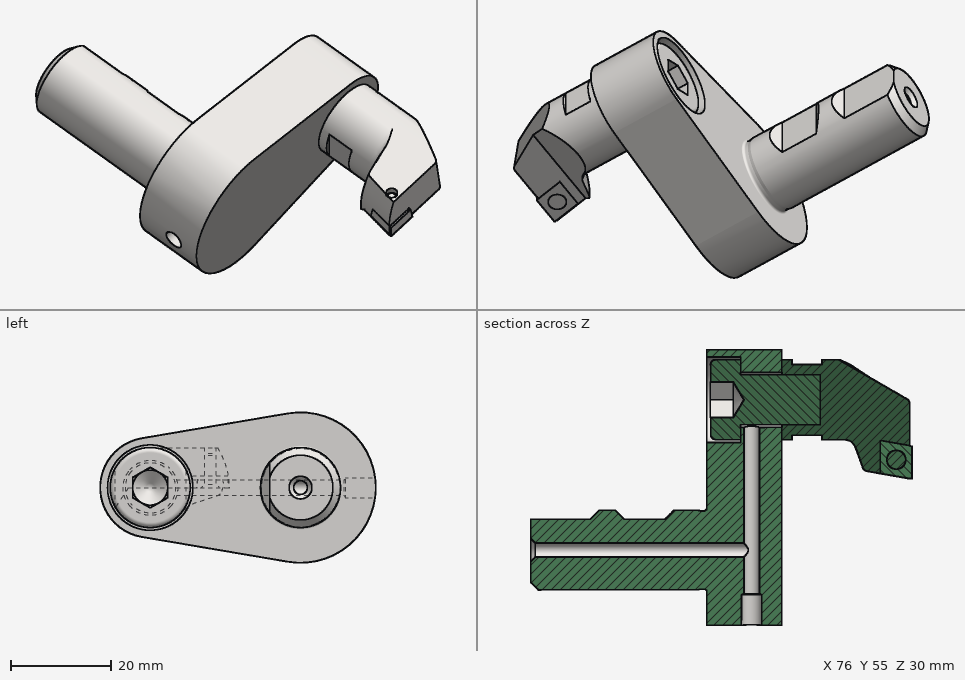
import cadquery as cq
import math


hub_radius = 30.0 / 2
eye_radius = 20.0 / 2
eye_offset = 29.95
arm_thickness = 15.0

shank_length = 35.0
shank_radius = 8.0
shank_chamfer = 1.5
flat_height = 6.15
end_flat_length = 11.85
land_length = 3.1
middle_flat_length = 8.1
undercut_start = 1.8
neck_start = 1.15
neck_radius = 7.8
neck_fillet = 0.5

shank_channel_radius = 1.4
shank_channel_mouth_radius = 2.3
cross_channel_x = 9.0
cross_channel_radius = 1.5
plug_bore_radius = 2.0
plug_bore_depth = 6.1

head_recess = 0.75
head_radius = 8.0
head_height = 6.0
head_fillet = 1.0
counterbore_radius = 8.5
screw_radius = 5.0
screw_length = 15.95
clearance_radius = 5.5
hex_across_flats = 7.0
hex_depth = 4.55
drill_half_angle = 59

bar_radius = shank_radius
wrench_flat_start = 2.05
wrench_flat_length = 5.9
wrench_flat_offset = 7.1
relief_angle = 7
bar_end = 25.5
shoulder_end = 11.4
back_lean = 4
slant_angle = 30
end_corner_radius = 1.2
underside_start = 9.65

flare_angle = 20
flare_fillet = 2.2
nose_x = 16.35
nose_radius = 14.1
nose_fillet = 1.1
front_angle = 10

insert_edge = 6.45
insert_angle = 80
insert_thickness = 2.35
insert_tip_x = 26.0
insert_tip_offset = 15.7
insert_screw_radius = 1.15
insert_screw_head_radius = 1.8
insert_screw_recess = 1.15
insert_screw_chamfer = 0.4


def x_cylinder(radius, start, length, y=0):
    return cq.Workplane("YZ", origin=(start, y, 0)).circle(radius).extrude(length)


def turned(outline, y=0):
    """Solid of revolution about a line along X; the outline holds (x, radius) points."""
    return (
        cq.Workplane("XY", origin=(0, y, 0))
        .polyline(outline)
        .close()
        .revolve(360, (0, 0, 0), (1, 0, 0))
    )


def arm_plate():
    lean = (hub_radius - eye_radius) / eye_offset
    rise = math.sqrt(1 - lean**2)
    hub_y = hub_radius * lean
    hub_z = hub_radius * rise
    eye_y = eye_offset + eye_radius * lean
    eye_z = eye_radius * rise
    return (
        cq.Workplane("YZ")
        .moveTo(hub_y, hub_z)
        .lineTo(eye_y, eye_z)
        .threePointArc((eye_offset + eye_radius, 0), (eye_y, -eye_z))
        .lineTo(hub_y, -hub_z)
        .threePointArc((-hub_radius, 0), (hub_y, hub_z))
        .close()
        .extrude(arm_thickness)
    )


def shank():
    fillet_foot_radius = neck_radius + neck_fillet
    arc_lag = neck_fillet * (1 - math.sqrt(0.5))
    body = (
        cq.Workplane("XY")
        .moveTo(-shank_length, 0)
        .lineTo(-shank_length, shank_radius - shank_chamfer)
        .lineTo(-shank_length + shank_chamfer, shank_radius)
        .lineTo(-undercut_start, shank_radius)
        .lineTo(-neck_start, neck_radius)
        .lineTo(-neck_fillet, neck_radius)
        .threePointArc((-arc_lag, neck_radius + arc_lag), (0, fillet_foot_radius))
        .lineTo(0, 0)
        .close()
        .revolve(360, (0, 0, 0), (1, 0, 0))
    )
    return body.cut(clamping_flats())


def clamping_flats():
    depth = shank_radius - flat_height
    end_flat_stop = -shank_length + end_flat_length
    land_stop = end_flat_stop + depth + land_length
    middle_flat_start = land_stop + depth
    middle_flat_stop = middle_flat_start + middle_flat_length
    end_notch = [
        (-shank_length, flat_height),
        (end_flat_stop, flat_height),
        (end_flat_stop + depth, shank_radius),
        (-shank_length, shank_radius),
    ]
    middle_notch = [
        (land_stop, shank_radius),
        (middle_flat_start, flat_height),
        (middle_flat_stop, flat_height),
        (middle_flat_stop + depth, shank_radius),
    ]
    flats = cq.Workplane("XY")
    for notch in (end_notch, middle_notch):
        flats = flats.union(
            cq.Workplane("XY").polyline(notch).close().extrude(shank_radius, both=True)
        )
    return flats


def coolant_channels():
    mouth_depth = shank_channel_mouth_radius - shank_channel_radius
    axial = turned([
        (-shank_length, 0),
        (-shank_length, shank_channel_mouth_radius),
        (-shank_length + mouth_depth, shank_channel_radius),
        (cross_channel_x, shank_channel_radius),
        (cross_channel_x, 0),
    ])
    bore_end = -hub_radius + plug_bore_depth
    step = (plug_bore_radius - cross_channel_radius) / math.tan(math.radians(drill_half_angle))
    cross = (
        cq.Workplane("XY", origin=(cross_channel_x, 0, 0))
        .polyline([
            (0, -hub_radius),
            (plug_bore_radius, -hub_radius),
            (plug_bore_radius, bore_end),
            (cross_channel_radius, bore_end + step),
            (cross_channel_radius, eye_offset),
            (0, eye_offset),
        ])
        .close()
        .revolve(360, (0, 0, 0), (0, 1, 0))
    )
    return axial.union(cross)


def build_arm():
    counterbore = x_cylinder(counterbore_radius, 0, head_recess + head_height, eye_offset)
    clearance = x_cylinder(clearance_radius, 0, arm_thickness, eye_offset)
    solid = arm_plate().union(shank())
    return solid.cut(counterbore).cut(clearance).cut(coolant_channels())


def build_clamp_screw():
    head = x_cylinder(head_radius, head_recess, head_height, eye_offset)
    head = head.faces("<X").edges().fillet(head_fillet)
    thread = x_cylinder(screw_radius, head_recess + head_height, screw_length, eye_offset)
    socket = (
        cq.Workplane("YZ", origin=(head_recess, eye_offset, 0))
        .polygon(6, hex_across_flats, circumscribed=True)
        .extrude(hex_depth)
    )
    floor_x = head_recess + hex_depth
    tip_radius = hex_across_flats / 2
    tip_length = tip_radius / math.tan(math.radians(drill_half_angle))
    drill_tip = turned([(floor_x, 0), (floor_x, tip_radius), (floor_x + tip_length, 0)], eye_offset)
    return head.union(thread).cut(socket).cut(drill_tip)


def tool_head():
    """Part of a turned flare on the -Y side of the bar, no higher than the bar."""
    knee_x = nose_x - (nose_radius - bar_radius) * math.tan(math.radians(flare_angle))
    front_x = 2 * bar_end - nose_x
    front_radius = nose_radius + (front_x - nose_x) * math.tan(math.radians(front_angle))
    flare = turned([
        (0, 0),
        (0, bar_radius),
        (knee_x, bar_radius),
        (nose_x, nose_radius),
        (front_x, front_radius),
        (front_x, 0),
    ])
    flare = flare.edges(cq.NearestToPointSelector((knee_x, 0, 0))).fillet(flare_fillet)
    flare = flare.edges(cq.NearestToPointSelector((nose_x, 0, 0))).fillet(nose_fillet)
    quadrant = cq.Workplane("XY").box(
        front_x, front_radius, 2 * bar_radius, centered=(False, False, True)
    )
    return flare.intersect(quadrant.translate((0, -front_radius, 0)))


def wrench_flats():
    width = bar_radius - wrench_flat_offset
    flats = cq.Workplane("XY")
    for side in (-1, 1):
        flats = flats.union(
            cq.Workplane("XY")
            .box(wrench_flat_length, width, 2 * bar_radius, centered=(False, True, True))
            .translate((wrench_flat_start, side * (wrench_flat_offset + width / 2), 0))
        )
    return flats


def leaning_block(lean, turn, x, y):
    """Block behind a face through (x, y, 0); the face looks along +X turned about Z, and leans back."""
    size = 4 * bar_end
    return (
        cq.Workplane("XY")
        .box(size, size, size)
        .translate((-size / 2, 0, 0))
        .rotate((0, 0, 0), (0, 1, 0), -lean)
        .rotate((0, 0, 0), (0, 0, 1), turn)
        .translate((x, y, 0))
    )


def end_envelope():
    """Space within the end face and the slanted back, which meet in a rounded corner."""
    corner_y = bar_radius - (bar_end - shoulder_end) * math.tan(math.radians(slant_angle))
    end = leaning_block(relief_angle, 0, bar_end, corner_y)
    back = leaning_block(back_lean, 90 - slant_angle, bar_end, corner_y)
    corner = cq.NearestToPointSelector((bar_end, corner_y, 0))
    return end.intersect(back).edges(corner).fillet(end_corner_radius)


def underside():
    """Space below the tool head: a 45 degree slope that ends at the height of the bar axis."""
    slope_top = underside_start + bar_radius
    return (
        cq.Workplane("XZ")
        .polyline([
            (underside_start, -bar_radius),
            (slope_top, 0),
            (2 * bar_end, 0),
            (2 * bar_end, -bar_radius),
        ])
        .close()
        .extrude(2 * insert_tip_offset, both=True)
    )


def insert_blank():
    """Rhombus with leaning sides, largest on its lower, cutting side."""
    turn = math.radians(insert_angle)
    far_x = insert_tip_x - insert_edge * math.sin(turn)
    far_y = -insert_tip_offset + insert_edge * (1 + math.cos(turn))
    size = 4 * insert_edge
    blank = (
        cq.Workplane("XY", origin=(insert_tip_x, -insert_tip_offset, 0))
        .rect(size, size)
        .extrude(insert_thickness)
    )
    for facing in (0, insert_angle - 180):
        blank = blank.intersect(leaning_block(relief_angle, facing, insert_tip_x, -insert_tip_offset))
        blank = blank.intersect(leaning_block(relief_angle, facing + 180, far_x, far_y))
    return blank


def insert_screw_body():
    centre_x = insert_tip_x - insert_edge * math.sin(math.radians(insert_angle)) / 2
    centre_y = -insert_tip_offset + insert_edge * (1 + math.cos(math.radians(insert_angle))) / 2
    head_depth = insert_screw_head_radius - insert_screw_radius
    return (
        cq.Workplane("XY", origin=(centre_x, centre_y, 0))
        .circle(insert_screw_head_radius)
        .workplane(offset=head_depth)
        .circle(insert_screw_radius)
        .loft()
        .faces(">Z")
        .workplane()
        .circle(insert_screw_radius)
        .extrude(bar_radius - head_depth)
    )


def in_eye(body):
    """Move a body from the bar's own origin to its place on the arm."""
    return body.translate((arm_thickness, eye_offset, 0))


def build_bar(clamp_screw):
    bar = x_cylinder(bar_radius, 0, 2 * bar_end).union(tool_head())
    bar = bar.intersect(end_envelope()).cut(underside()).cut(wrench_flats())
    bar = bar.cut(insert_blank()).cut(insert_screw_body())
    return in_eye(bar).cut(clamp_screw)


def build_insert():
    return in_eye(insert_blank().cut(insert_screw_body()))


def build_insert_screw():
    end_plane = insert_screw_body().faces(">Z").workplane(offset=-insert_screw_recess)
    screw = end_plane.split(keepBottom=True)
    screw = screw.faces(">Z").chamfer(insert_screw_chamfer)
    return in_eye(screw)


arm = build_arm()
clamp_screw = build_clamp_screw()
bar = build_bar(clamp_screw)
insert = build_insert()
insert_screw = build_insert_screw()

result = cq.Compound.makeCompound(
    [arm.val(), clamp_screw.val(), bar.val(), insert.val(), insert_screw.val()]
)